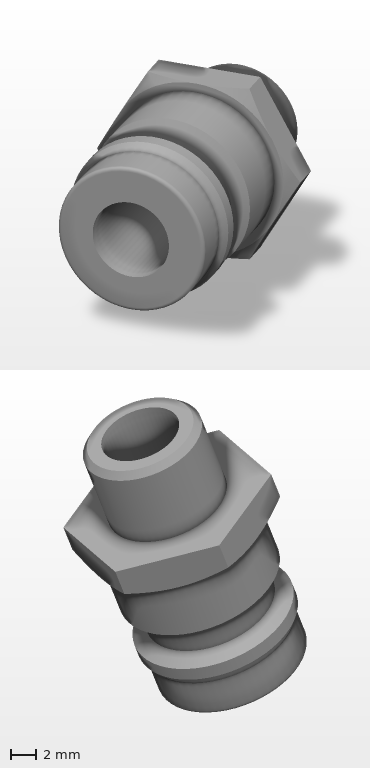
import cadquery as cq
import math

total_length = 24.0
nose_end = 3.25
collar_start = 4.03
collar_end = 5.15
groove_start = 5.9
groove_end = 8.02
body_start = 8.7
hex_start = 14.0
hex_end = 17.0

nose_diameter = 12.48
body_diameter = 13.45
groove_diameter = 10.8
spigot_diameter = 9.94
bore_diameter = 6.5

hex_across_flats = 15.0
hex_chamfer_angle = 30.0
tip_round = 0.3
spigot_chamfer_length = 0.58
spigot_chamfer_depth = 0.53


def revolve_profile(points):
    """Revolve a closed (radius, station) outline about the Y axis."""
    outline = cq.Workplane("XY").polyline(points).close()
    return outline.revolve(360, (0, 0, 0), (0, 1, 0))


def plug_and_spigot():
    """Turned body: nose, collar, groove, main barrel and rear spigot."""
    nose_radius = nose_diameter / 2
    body_radius = body_diameter / 2
    groove_radius = groove_diameter / 2
    spigot_radius = spigot_diameter / 2
    turned = revolve_profile([
        (0, 0),
        (nose_radius, 0),
        (nose_radius, nose_end),
        (body_radius, collar_start),
        (body_radius, collar_end),
        (groove_radius, groove_start),
        (groove_radius, groove_end),
        (body_radius, body_start),
        (body_radius, hex_start),
        (spigot_radius, hex_start),
        (spigot_radius, total_length - spigot_chamfer_length),
        (spigot_radius - spigot_chamfer_depth, total_length),
        (0, total_length),
    ])
    return turned.faces("<Y").edges().fillet(tip_round)


def hexagon():
    """Hexagon with corners on X, its front corners turned to a cone."""
    corner_diameter = hex_across_flats / math.cos(math.radians(30))
    flat_radius = hex_across_flats / 2
    cone_rise = math.tan(math.radians(hex_chamfer_angle))
    hex_length = hex_end - hex_start
    cone_radius = flat_radius + hex_length / cone_rise
    prism = (
        cq.Workplane("XZ", origin=(0, hex_end, 0))
        .polygon(6, corner_diameter)
        .extrude(hex_length)
    )
    cone = revolve_profile([
        (0, hex_start),
        (flat_radius, hex_start),
        (cone_radius, hex_end),
        (0, hex_end),
    ])
    return prism.intersect(cone)


def bore():
    """Through bore along the Y axis."""
    return (
        cq.Workplane("XZ", origin=(0, total_length, 0))
        .circle(bore_diameter / 2)
        .extrude(total_length)
    )


result = plug_and_spigot().union(hexagon()).cut(bore())